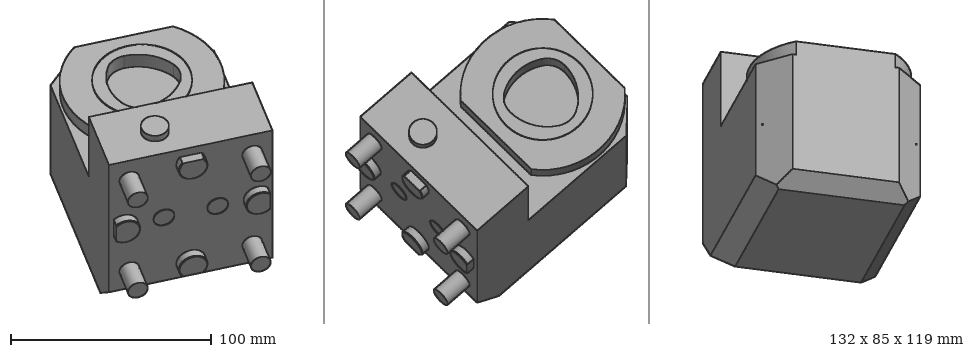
import cadquery as cq
import math


overall_length = 132.0
overall_height = 119.0
body_width = 85.0
pin_length = 15.0
body_length = overall_length - pin_length
plug_height = 4.0
body_height = overall_height - plug_height
nose_height = 73.0
wall_thickness = 35.1
nose_corner_cut = 15.0
mount_corner_cut = 25.0
side_bottom_cut = 10.0
nose_bottom_cut = 8.0

flange_radius = 41.0
flange_half_flat = 32.1
flange_height = 7.5
ring_radius = 25.0
ring_height = 0.5

socket_corner_radius = 11.7
socket_corner_distance = 7.9
socket_depth = 8.7

plug_radius = 7.0
plug_inset = 16.0
plug_y = -13.9

mount_center_z = 70.0
pin_radius = 5.1
pin_offset = 32.0
key_radius = 7.5
key_center_distance = 35.0
key_outer_reach = 40.0
key_height = 4.6
key_rim_chamfer = 0.4
pad_radius = 5.4
pad_offset = 14.0
pad_height = 0.4

pinhole_radius = 0.3
pinhole_depth = 1.3
pinhole_z = 37.9
pinhole_side_inset = 2.8

nose_x = -flange_half_flat
mount_x = nose_x + body_length
wall_x = mount_x - wall_thickness
half_width = body_width / 2


def make_body():
    profile = [
        (nose_x + nose_bottom_cut, 0),
        (mount_x - mount_corner_cut, 0),
        (mount_x, mount_corner_cut),
        (mount_x, body_height),
        (wall_x, body_height),
        (wall_x, nose_height),
        (nose_x, nose_height),
        (nose_x, nose_bottom_cut),
    ]
    body = cq.Workplane("XZ").polyline(profile).close().extrude(half_width, both=True)

    plan = [
        (nose_x + nose_corner_cut, -half_width),
        (mount_x, -half_width),
        (mount_x, half_width),
        (nose_x + nose_corner_cut, half_width),
        (nose_x, half_width - nose_corner_cut),
        (nose_x, nose_corner_cut - half_width),
    ]
    body = body.intersect(cq.Workplane("XY").polyline(plan).close().extrude(body_height))

    cross_section = [
        (side_bottom_cut - half_width, 0),
        (half_width - side_bottom_cut, 0),
        (half_width, side_bottom_cut),
        (half_width, body_height),
        (-half_width, body_height),
        (-half_width, side_bottom_cut),
    ]
    envelope = (
        cq.Workplane("YZ", origin=(nose_x, 0, 0))
        .polyline(cross_section).close().extrude(body_length)
    )
    return body.intersect(envelope)


def make_flange():
    disc = cq.Workplane("XY").workplane(offset=nose_height).circle(flange_radius).extrude(flange_height)
    flats = (
        cq.Workplane("XY").workplane(offset=nose_height)
        .rect(2 * flange_half_flat, 2 * flange_radius).extrude(flange_height)
    )
    ring = (
        cq.Workplane("XY").workplane(offset=nose_height + flange_height)
        .circle(ring_radius).extrude(ring_height)
    )
    return disc.intersect(flats).union(ring)


def polar(center, radius, degrees):
    angle = math.radians(degrees)
    return (center[0] + radius * math.cos(angle), center[1] + radius * math.sin(angle))


def make_socket():
    corner_directions = (90, 210, 330)
    flank_radius = socket_corner_radius + math.sqrt(3) * socket_corner_distance
    socket_floor_z = nose_height + flange_height + ring_height - socket_depth
    outline = cq.Workplane("XY").workplane(offset=socket_floor_z)
    first_center = polar((0, 0), socket_corner_distance, corner_directions[0])
    outline = outline.moveTo(*polar(first_center, socket_corner_radius, corner_directions[0] - 30))
    for direction in corner_directions:
        corner = polar((0, 0), socket_corner_distance, direction)
        opposite = polar((0, 0), socket_corner_distance, direction - 120)
        outline = outline.threePointArc(
            polar(corner, socket_corner_radius, direction),
            polar(corner, socket_corner_radius, direction + 30),
        ).threePointArc(
            polar(opposite, flank_radius, direction + 60),
            polar(opposite, flank_radius, direction + 90),
        )
    return outline.close().extrude(socket_depth)


def make_plug():
    return (
        cq.Workplane("XY", origin=(mount_x - plug_inset, plug_y, body_height))
        .circle(plug_radius).extrude(plug_height)
    )


def mounting_face():
    return cq.Workplane("YZ", origin=(mount_x, 0, mount_center_z))


def make_key():
    button = (
        mounting_face().center(0, key_center_distance).circle(key_radius).extrude(key_height)
        .faces(">X").chamfer(key_rim_chamfer)
    )
    beyond_flat = (
        mounting_face().center(0, key_outer_reach + key_radius)
        .rect(2 * key_radius, 2 * key_radius).extrude(key_height)
    )
    return button.cut(beyond_flat)


def make_mount_features():
    face = mounting_face()
    pins = face.rect(2 * pin_offset, 2 * pin_offset, forConstruction=True).vertices()
    features = pins.circle(pin_radius).extrude(pin_length)
    features = features.union(
        face.pushPoints([(-pad_offset, 0), (pad_offset, 0)]).circle(pad_radius).extrude(pad_height)
    )
    key = make_key()
    axis_start = (mount_x, 0, mount_center_z)
    axis_end = (mount_x + key_height, 0, mount_center_z)
    for turn in range(4):
        features = features.union(key.rotate(axis_start, axis_end, 90 * turn))
    return features


def make_pinhole(side):
    mouth_x = nose_x + nose_corner_cut - pinhole_side_inset
    mouth = cq.Vector(mouth_x, side * (half_width - pinhole_side_inset), pinhole_z)
    inward = cq.Vector(1, -side, 0)
    return cq.Workplane(cq.Solid.makeCylinder(pinhole_radius, pinhole_depth, mouth, inward))


result = (
    make_body()
    .union(make_flange())
    .cut(make_socket())
    .union(make_plug())
    .union(make_mount_features())
)
for side in (-1, 1):
    result = result.cut(make_pinhole(side))